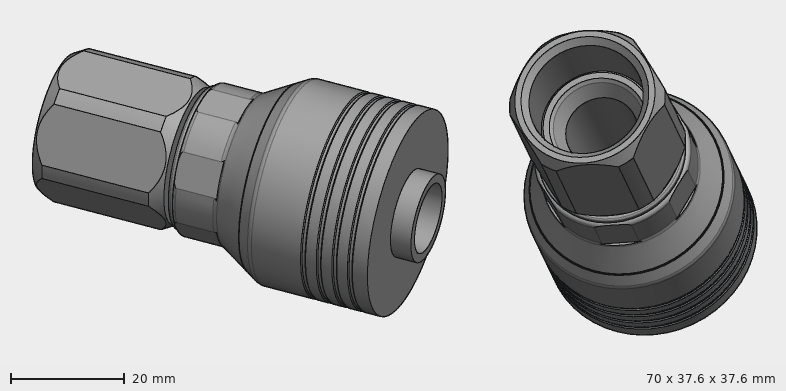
import cadquery as cq
import math

OVERALL_LENGTH = 69.96
HEX_SIDES = 6
OVERCUT = 1.0

NUT_LENGTH = 24.95
NUT_ACROSS_FLATS = 25.4
NUT_CORNER_RADIUS = 13.87
NUT_END_RADIUS = 12.5
NUT_BEVEL_ANGLE = 30
NUT_BORE_RADIUS = 10.2
NUT_MOUTH_RADIUS = 11.4

BORE_RADIUS = 6.4
NOSE_START = 13.0
NOSE_LENGTH = 5.0
NOSE_EDGE_CHAMFER = 0.4
SEAT_MOUTH_RADIUS = 8.7
SEAT_CHAMFER = 0.6
SEAT_CONE_LENGTH = 2.9
NECK_RADIUS = 8.75
TAIL_RADIUS = 8.06
COLLAR_START = 25.92
COLLAR_RADIUS = 13.15
COLLAR_EDGE_FILLET = 0.4
HEX_START = 26.87
HEX_END = 35.34
HEX_ACROSS_FLATS = 27.1
HEX_CORNER_RADIUS = 13.95
HEX_EDGE_FILLET = HEX_CORNER_RADIUS - COLLAR_RADIUS

CONE_ANGLE = 30
CONE_START = 35.24
CONE_BEND_RADIUS = 1.65
JOINT_X = 41.05

FERRULE_RADIUS = 18.81
FERRULE_END = 66.08
FERRULE_EDGE_CHAMFER = 0.15
GROOVE_COUNT = 4
GROOVE_FIRST_X = 53.42
GROOVE_PITCH = 2.96
GROOVE_WIDTH = 0.94
GROOVE_FLOOR_WIDTH = 0.54
GROOVE_DEPTH = 0.22

CONE_SLOPE = math.tan(math.radians(CONE_ANGLE))
BEND_SETBACK = CONE_BEND_RADIUS * math.tan(math.radians(CONE_ANGLE / 2))
CONE_END = CONE_START + (FERRULE_RADIUS - HEX_CORNER_RADIUS) / CONE_SLOPE


def cone_radius(x):
    """Radius of the straight cone at a station along the axis."""
    return HEX_CORNER_RADIUS + (x - CONE_START) * CONE_SLOPE


def revolve(profile):
    """Turn an outline, drawn as (x, radius), round the X axis."""
    return profile.close().revolve(360, (0, 0, 0), (1, 0, 0))


def hex_prism(across_flats, start, end):
    """Hexagonal bar along X with two flats facing up and down."""
    across_corners = across_flats / math.cos(math.pi / HEX_SIDES)
    section = cq.Workplane("YZ", origin=(start, 0, 0)).polygon(HEX_SIDES, across_corners)
    return section.extrude(end - start)


def bend_shift():
    """Axial and radial reach of a bend's tangent point along the cone."""
    angle = math.radians(CONE_ANGLE)
    return BEND_SETBACK * math.cos(angle), BEND_SETBACK * math.sin(angle)


def make_nut():
    bevel = (NUT_CORNER_RADIUS - NUT_END_RADIUS) / math.tan(math.radians(NUT_BEVEL_ANGLE))
    mouth_depth = NUT_MOUTH_RADIUS - NUT_BORE_RADIUS
    shoulder = NOSE_START + NOSE_LENGTH
    turned = revolve(
        cq.Workplane("XY")
        .moveTo(0, NUT_MOUTH_RADIUS)
        .lineTo(0, NUT_END_RADIUS)
        .lineTo(bevel, NUT_CORNER_RADIUS)
        .lineTo(NUT_LENGTH - bevel, NUT_CORNER_RADIUS)
        .lineTo(NUT_LENGTH, NUT_END_RADIUS)
        .lineTo(NUT_LENGTH, NECK_RADIUS)
        .lineTo(shoulder, NECK_RADIUS)
        .lineTo(shoulder, NUT_BORE_RADIUS)
        .lineTo(mouth_depth, NUT_BORE_RADIUS)
    )
    return turned.intersect(hex_prism(NUT_ACROSS_FLATS, 0, NUT_LENGTH))


def make_stem():
    shift_x, shift_r = bend_shift()
    bend_mid_angle = math.radians(CONE_ANGLE / 2)
    bend_start = CONE_START - BEND_SETBACK
    bend_mid = (
        bend_start + CONE_BEND_RADIUS * math.sin(bend_mid_angle),
        HEX_CORNER_RADIUS + CONE_BEND_RADIUS * (1 - math.cos(bend_mid_angle)),
    )
    seat_throat_radius = SEAT_MOUTH_RADIUS - SEAT_CHAMFER
    seat_end = NOSE_START + SEAT_CHAMFER + SEAT_CONE_LENGTH
    stem = revolve(
        cq.Workplane("XY")
        .moveTo(NOSE_START, SEAT_MOUTH_RADIUS)
        .lineTo(NOSE_START, NUT_BORE_RADIUS - NOSE_EDGE_CHAMFER)
        .lineTo(NOSE_START + NOSE_EDGE_CHAMFER, NUT_BORE_RADIUS)
        .lineTo(NOSE_START + NOSE_LENGTH, NUT_BORE_RADIUS)
        .lineTo(NOSE_START + NOSE_LENGTH, NECK_RADIUS)
        .lineTo(COLLAR_START, NECK_RADIUS)
        .lineTo(COLLAR_START, COLLAR_RADIUS - COLLAR_EDGE_FILLET)
        .radiusArc((COLLAR_START + COLLAR_EDGE_FILLET, COLLAR_RADIUS), COLLAR_EDGE_FILLET)
        .lineTo(HEX_START, COLLAR_RADIUS)
        .radiusArc((HEX_START + HEX_EDGE_FILLET, HEX_CORNER_RADIUS), HEX_EDGE_FILLET)
        .lineTo(bend_start, HEX_CORNER_RADIUS)
        .threePointArc(bend_mid, (CONE_START + shift_x, HEX_CORNER_RADIUS + shift_r))
        .lineTo(JOINT_X, cone_radius(JOINT_X))
        .lineTo(JOINT_X, TAIL_RADIUS)
        .lineTo(OVERALL_LENGTH, TAIL_RADIUS)
        .lineTo(OVERALL_LENGTH, BORE_RADIUS)
        .lineTo(seat_end, BORE_RADIUS)
        .lineTo(NOSE_START + SEAT_CHAMFER, seat_throat_radius)
    )
    hex_length = HEX_END - HEX_START
    ring = cq.Workplane("YZ", origin=(HEX_START, 0, 0)).circle(FERRULE_RADIUS).extrude(hex_length)
    return stem.cut(ring.cut(hex_prism(HEX_ACROSS_FLATS, HEX_START, HEX_END)))


def make_groove(start):
    """Ring that cuts one sloped-sided groove round the ferrule."""
    flank = (GROOVE_WIDTH - GROOVE_FLOOR_WIDTH) / 2
    floor_radius = FERRULE_RADIUS - GROOVE_DEPTH
    return revolve(
        cq.Workplane("XY")
        .moveTo(start, FERRULE_RADIUS)
        .lineTo(start + flank, floor_radius)
        .lineTo(start + flank + GROOVE_FLOOR_WIDTH, floor_radius)
        .lineTo(start + GROOVE_WIDTH, FERRULE_RADIUS)
        .lineTo(start + GROOVE_WIDTH, FERRULE_RADIUS + OVERCUT)
        .lineTo(start, FERRULE_RADIUS + OVERCUT)
    )


def make_ferrule():
    shift_x, shift_r = bend_shift()
    edge_x = JOINT_X + FERRULE_EDGE_CHAMFER
    ferrule = revolve(
        cq.Workplane("XY")
        .moveTo(JOINT_X, TAIL_RADIUS)
        .lineTo(JOINT_X, cone_radius(JOINT_X) - FERRULE_EDGE_CHAMFER)
        .lineTo(edge_x, cone_radius(edge_x))
        .lineTo(CONE_END - shift_x, FERRULE_RADIUS - shift_r)
        .radiusArc((CONE_END + BEND_SETBACK, FERRULE_RADIUS), CONE_BEND_RADIUS)
        .lineTo(FERRULE_END, FERRULE_RADIUS)
        .lineTo(FERRULE_END, TAIL_RADIUS)
    )
    for index in range(GROOVE_COUNT):
        ferrule = ferrule.cut(make_groove(GROOVE_FIRST_X + index * GROOVE_PITCH))
    return ferrule


nut = make_nut()
stem = make_stem()
ferrule = make_ferrule()

result = cq.Compound.makeCompound([*nut.solids().vals(), *stem.solids().vals(), *ferrule.solids().vals()])